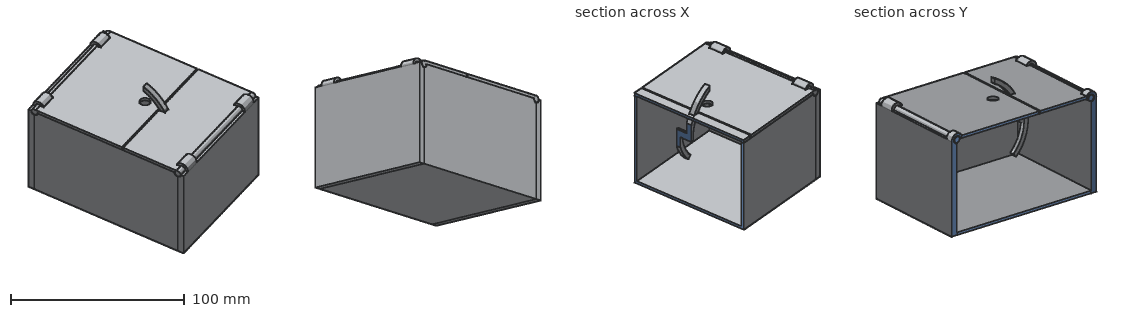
import cadquery as cq
import math

box_width = 106.0
box_depth = 80.0
box_height = 60.0
wall = 2.0
side_wall = 4.0

lid_thickness = 2.0
lid_gap_left = 10.9
lid_gap = 0.8
finger_hole_diameter = 6.5
finger_hole_x = 1.1

rod_diameter = 4.0
rod_seat_diameter = 4.5
clip_radius = side_wall
clip_length = 9.5
clip_centre_y = 30.4
notch_clearance = 0.3
notch_length = clip_length + 2 * notch_clearance
clip_reach = math.sqrt(clip_radius ** 2 - lid_thickness ** 2)
plate_setback = math.sqrt((rod_seat_diameter / 2) ** 2 - lid_thickness ** 2)
hinge_x = box_width / 2 - side_wall
hinge_z = box_height

hook_outer_radius = 30.0
hook_inner_radius = 27.0
hook_axis_x = -10.4
hook_axis_z = 47.3
hook_width = 3.6
lower_arm_width = 3.0
hook_tip_x = finger_hole_x
hook_offset_y = -7.7
hook_top_angle = 90.0
hook_step_start = 5.0
hook_step_end = -5.0
hook_end_angle = -45.0


def block(x_min, x_max, y_min, y_max, z_min, z_max):
    """Rectangular block between the given limits."""
    size = (x_max - x_min, y_max - y_min, z_max - z_min)
    return cq.Workplane("XY").box(*size, centered=False).translate((x_min, y_min, z_min))


def hinge_cylinder(side, radius, length, centre_y=0.0):
    """Cylinder on the hinge axis of one side (-1 is left, 1 is right)."""
    return (
        cq.Workplane("XZ", origin=(side * hinge_x, centre_y + length / 2, hinge_z))
        .circle(radius)
        .extrude(length)
    )


def cut_rod_seats(body):
    """Cut the grooves in which the two hinge rods turn."""
    for side in (-1, 1):
        body = body.cut(hinge_cylinder(side, rod_seat_diameter / 2, box_depth))
    return body


def make_trough():
    """Front wall, floor and back wall between the two side panels."""
    half_depth = box_depth / 2
    outside = block(-hinge_x, hinge_x, -half_depth, half_depth, 0, box_height)
    inside = block(-hinge_x, hinge_x, -half_depth + wall, half_depth - wall, wall, box_height)
    return cut_rod_seats(outside.cut(inside))


def make_clip(side, centre_y):
    """Half ring over the hinge rod, standing on the side panel."""
    ring = hinge_cylinder(side, clip_radius, clip_length, centre_y)
    x_limits = sorted((side * box_width / 2, side * (hinge_x - clip_reach)))
    envelope = block(*x_limits, -box_depth / 2, box_depth / 2, hinge_z, hinge_z + clip_radius)
    return ring.intersect(envelope)


def make_side_panel(side):
    """Side panel with its two hinge clips."""
    x_limits = sorted((side * box_width / 2, side * hinge_x))
    panel = block(*x_limits, -box_depth / 2, box_depth / 2, 0, box_height)
    for centre_y in (-clip_centre_y, clip_centre_y):
        panel = panel.union(make_clip(side, centre_y))
    return cut_rod_seats(panel)


def make_lid(side, free_edge_x):
    """Lid plate with its hinge rod and the notches for the clips."""
    x_limits = sorted((side * (hinge_x - plate_setback), free_edge_x))
    lid = block(*x_limits, -box_depth / 2, box_depth / 2, hinge_z, hinge_z + lid_thickness)
    notch_x = sorted((side * hinge_x, side * (hinge_x - clip_reach)))
    for centre_y in (-clip_centre_y, clip_centre_y):
        notch_y = (centre_y - notch_length / 2, centre_y + notch_length / 2)
        lid = lid.cut(block(*notch_x, *notch_y, hinge_z, hinge_z + lid_thickness))
    return lid.union(hinge_cylinder(side, rod_diameter / 2, box_depth)).clean()


def hook_point(radius, angle):
    """Point at an angle in degrees on a circle around the hook axis."""
    turn = math.radians(angle)
    return (hook_axis_x + radius * math.cos(turn), hook_axis_z + radius * math.sin(turn))


def hook_band(start_angle, end_angle, y_min, y_max):
    """Piece of the hook's ring between two angles and two Y positions."""
    middle = (start_angle + end_angle) / 2
    return (
        cq.Workplane("XZ", origin=(0, y_max, 0))
        .moveTo(*hook_point(hook_outer_radius, start_angle))
        .threePointArc(
            hook_point(hook_outer_radius, middle), hook_point(hook_outer_radius, end_angle)
        )
        .lineTo(*hook_point(hook_inner_radius, end_angle))
        .threePointArc(
            hook_point(hook_inner_radius, middle), hook_point(hook_inner_radius, start_angle)
        )
        .close()
        .extrude(y_max - y_min)
    )


def make_hook():
    """Curved hook: upper arm through the right lid, sideways step, lower arm inside the box."""
    upper_y = (-hook_width / 2, hook_width / 2)
    lower_y = (hook_offset_y - lower_arm_width / 2, hook_offset_y + lower_arm_width / 2)
    upper_arm = hook_band(hook_top_angle, hook_step_end, *upper_y)
    step = hook_band(hook_step_start, hook_step_end, lower_y[0], upper_y[1])
    lower_arm = hook_band(hook_step_start, hook_end_angle, *lower_y)
    ring_top = hook_axis_z + hook_outer_radius
    beyond_tip = block(hook_axis_x, hook_tip_x, *upper_y, hook_axis_z, ring_top)
    return upper_arm.cut(beyond_tip).union(step).union(lower_arm)


trough = make_trough()
left_panel = make_side_panel(-1)
right_panel = make_side_panel(1)
hook = make_hook()

finger_hole = (
    cq.Workplane("XY", origin=(finger_hole_x, 0, hinge_z))
    .circle(finger_hole_diameter / 2)
    .extrude(lid_thickness)
)
left_lid = make_lid(-1, lid_gap_left).cut(finger_hole)
right_lid = make_lid(1, lid_gap_left + lid_gap).cut(hook)

result = cq.Compound.makeCompound([
    trough.val(),
    left_panel.val(),
    right_panel.val(),
    left_lid.val(),
    right_lid.val(),
    hook.val(),
])